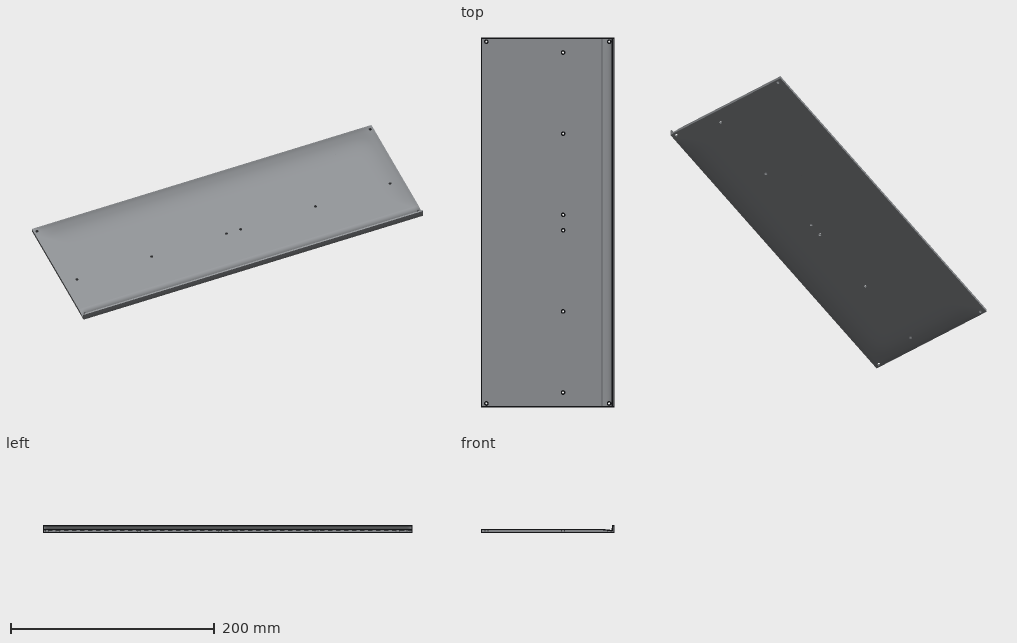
import cadquery as cq
import math

width = 130.45
length = 362.2
height = 6.95

plate_thickness = 3.2
ramp_width = 12.1
lip_top_width = 1.5
tilt = math.radians(7.0)

hole_diameter = 3.1
corner_inset_x = 4.9
corner_inset_y = 3.4
row_x = 80.3
row_first_offset = 7.6
row_pitch = 79.7
row_holes_per_side = 3


def make_profile_body():
    """Flat plate whose top ramps down to the foot of an upright lip, extruded along Y."""
    ramp_start_x = width - ramp_width
    lip_inner_x = width - lip_top_width

    run_to_lip = lip_inner_x - ramp_start_x
    rise_to_lip = height - plate_thickness
    ramp_length = run_to_lip * math.cos(tilt) - rise_to_lip * math.sin(tilt)
    foot_x = ramp_start_x + ramp_length * math.cos(tilt)
    foot_z = plate_thickness - ramp_length * math.sin(tilt)

    lip_outer_z = height - lip_top_width * math.tan(tilt)

    return (
        cq.Workplane("XZ", origin=(0, length / 2, 0))
        .moveTo(0, 0)
        .lineTo(width, 0)
        .lineTo(width, lip_outer_z)
        .lineTo(lip_inner_x, height)
        .lineTo(foot_x, foot_z)
        .lineTo(ramp_start_x, plate_thickness)
        .lineTo(0, plate_thickness)
        .close()
        .extrude(length)
    )


def hole_centers():
    """Four corner holes plus a row mirrored about the middle of the length."""
    corner_y = length / 2 - corner_inset_y
    centers = []
    for side in (-1, 1):
        centers.append((corner_inset_x, side * corner_y))
        centers.append((width - corner_inset_x, side * corner_y))
        for index in range(row_holes_per_side):
            offset = row_first_offset + index * row_pitch
            centers.append((row_x, side * offset))
    return centers


def make_holes():
    """Cylinders that pass through the whole plate."""
    return cq.Workplane("XY").pushPoints(hole_centers()).circle(hole_diameter / 2).extrude(height)


result = make_profile_body().cut(make_holes())